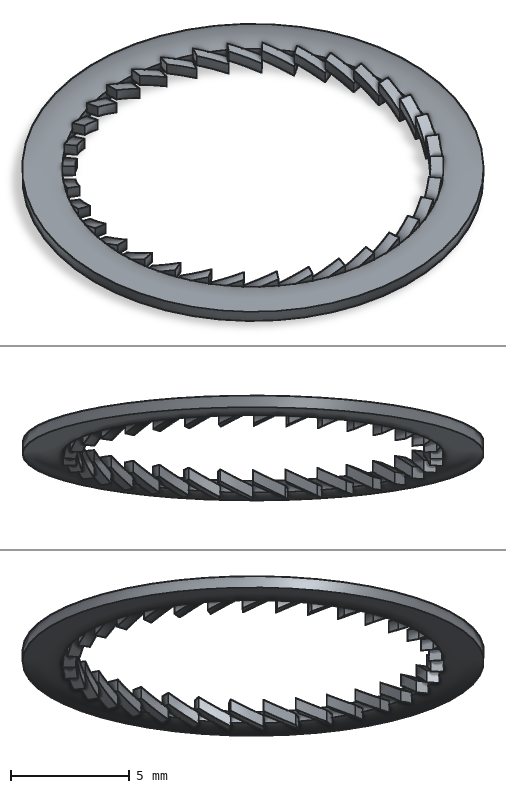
import cadquery as cq
import math

outer_diameter = 19.5
bore_diameter = 16.1
ring_thickness = 0.5

blade_count = 34
blade_inner_diameter = 15.02
total_height = 1.2
blade_thickness = ring_thickness
blade_rise = total_height - blade_thickness
blade_pitch = 360.0 / blade_count
first_edge_angle = 90.0

trim_margin = 0.2


def annulus(outside_diameter, inside_diameter, height):
    """Flat ring centred on the origin in all three directions."""
    base = cq.Workplane("XY").workplane(offset=-height / 2)
    return base.circle(outside_diameter / 2).circle(inside_diameter / 2).extrude(height)


def blade_end(angle, middle_height):
    """Upright rectangular outline in the radial plane at the given angle."""
    inner_radius = blade_inner_diameter / 2 - trim_margin
    outer_radius = bore_diameter / 2 + trim_margin
    low = middle_height - blade_thickness / 2
    high = middle_height + blade_thickness / 2
    corners = [(inner_radius, low), (outer_radius, low), (outer_radius, high), (inner_radius, high)]
    turn = math.radians(angle)
    points = [cq.Vector(r * math.cos(turn), r * math.sin(turn), z) for r, z in corners]
    return cq.Wire.makePolygon(points, close=True)


def make_blade():
    """One blade, a pitch long, rising counter-clockwise through the ring's middle plane."""
    low_end = blade_end(first_edge_angle, -blade_rise / 2)
    high_end = blade_end(first_edge_angle + blade_pitch, blade_rise / 2)
    untrimmed = cq.Workplane(cq.Solid.makeLoft([low_end, high_end], True))
    return untrimmed.intersect(annulus(bore_diameter, blade_inner_diameter, total_height))


blade = make_blade()
result = annulus(outer_diameter, bore_diameter, ring_thickness)
for index in range(blade_count):
    result = result.union(blade.rotate((0, 0, 0), (0, 0, 1), index * blade_pitch))